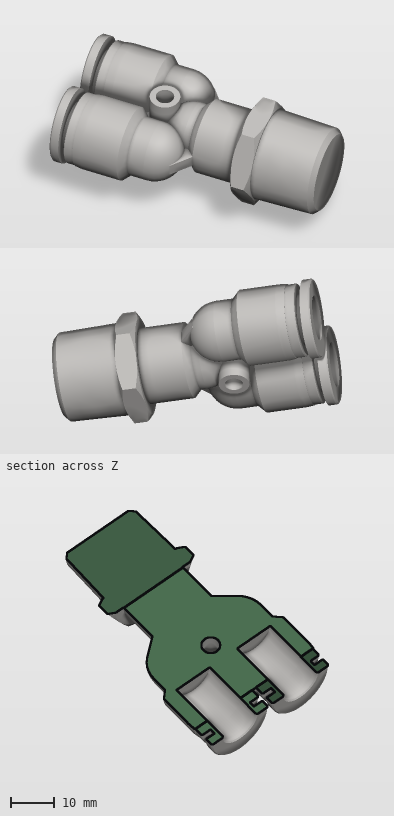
import cadquery as cq
import math

total_length = 62.2
total_width = 35.6
branch_diameter = 17.6
branch_radius = branch_diameter / 2
branch_offset = (total_width - branch_diameter) / 2

socket_start = 5.85
mouth_drop = 0.2
rounding_length = 2.05
shoulder_start = 16.9
dome_radius = 7.0
shoulder_end = shoulder_start + branch_radius - dome_radius
dome_center = 22.75

trunk_dome_center = 28.5
trunk_cone_start = 30.15
trunk_cone_end = trunk_cone_start + branch_radius - dome_radius

web_thickness = 2.85

post_center = 21.5
post_diameter = 7.0
post_hole_diameter = 4.2

flange_width = 16.8
flange_height = 19.05
flange_thickness = 2.25
flange_chamfer = 0.3
neck_diameter = 11.9
bore_diameter = 9.75
bore_chamfer = 0.3
ring_start = 3.55
ring_diameter = 16.9
ring_chamfer = 0.2
tube_stop = shoulder_start

hex_start = 42.25
hex_thickness = 5.0
hex_across_flats = 22.2
hex_corner_diameter = hex_across_flats / math.cos(math.pi / 6)
hex_chamfer_length = 0.95
thread_start = hex_start + hex_thickness
thread_start_radius = 10.7
thread_end_radius = 10.3
thread_chamfer = 1.2


def revolve_about_x(profile):
    """Revolve a closed XY profile about the X axis."""
    return profile.close().revolve(360, (0, 0, 0), (1, 0, 0))


def x_cylinder(start, end, diameter):
    """Cylinder along the X axis."""
    return cq.Workplane("YZ", origin=(start, 0, 0)).circle(diameter / 2).extrude(end - start)


def make_branch():
    """Socket with a rounded mouth, a shoulder and a domed end."""
    rounding_radius = (rounding_length**2 + mouth_drop**2) / (2 * mouth_drop)
    return revolve_about_x(
        cq.Workplane("XY")
        .moveTo(socket_start, 0)
        .lineTo(socket_start, branch_radius - mouth_drop)
        .radiusArc((socket_start + rounding_length, branch_radius), rounding_radius)
        .lineTo(shoulder_start, branch_radius)
        .lineTo(shoulder_end, dome_radius)
        .lineTo(dome_center, dome_radius)
        .radiusArc((dome_center + dome_radius, 0), dome_radius)
    )


def make_trunk():
    """Trunk with a domed inner end, widening by a cone to meet the hexagon."""
    return revolve_about_x(
        cq.Workplane("XY")
        .moveTo(trunk_dome_center - dome_radius, 0)
        .radiusArc((trunk_dome_center, dome_radius), dome_radius)
        .lineTo(trunk_cone_start, dome_radius)
        .lineTo(trunk_cone_end, branch_radius)
        .lineTo(hex_start, branch_radius)
        .lineTo(hex_start, 0)
    )


def make_web():
    """Flat web whose slanted sides run from the trunk edge tangent to the branch domes."""
    run = trunk_cone_end - dome_center
    rise = branch_radius - branch_offset
    tangent_angle = math.atan2(rise, run) + math.acos(dome_radius / math.hypot(run, rise))
    tangent_x = dome_center + dome_radius * math.cos(tangent_angle)
    tangent_y = branch_offset + dome_radius * math.sin(tangent_angle)
    half_outline = [
        (socket_start, branch_offset),
        (dome_center, branch_offset),
        (tangent_x, tangent_y),
        (trunk_cone_end, branch_radius),
    ]
    mirrored_outline = [(x, -y) for x, y in reversed(half_outline)]
    return (
        cq.Workplane("XY")
        .polyline(half_outline + mirrored_outline)
        .close()
        .extrude(web_thickness / 2, both=True)
    )


def make_housing():
    """Y-shaped housing with two blind tube bores and a through-drilled post."""
    housing = make_trunk().union(make_web())
    for side in (-1, 1):
        housing = housing.union(make_branch().translate((0, side * branch_offset, 0)))
    post_plane = cq.Workplane("XY").center(post_center, 0)
    post = post_plane.circle(post_diameter / 2).extrude(branch_radius, both=True)
    post_hole = post_plane.circle(post_hole_diameter / 2).extrude(branch_radius, both=True)
    housing = housing.union(post).cut(post_hole)
    tube_bore = x_cylinder(socket_start, tube_stop, bore_diameter)
    for side in (-1, 1):
        housing = housing.cut(tube_bore.translate((0, side * branch_offset, 0)))
    return housing


def make_collar(side):
    """Release collar: oval flange, round neck and ring seated on the socket, bored through."""
    flange = (
        cq.Workplane("YZ")
        .ellipse(flange_width / 2, flange_height / 2)
        .extrude(flange_thickness)
        .faces("<X")
        .chamfer(flange_chamfer)
    )
    neck = x_cylinder(flange_thickness, ring_start, neck_diameter)
    ring = x_cylinder(ring_start, socket_start, ring_diameter).faces("<X").edges().chamfer(ring_chamfer)
    bore = x_cylinder(0, socket_start, bore_diameter)
    bore_radius = bore_diameter / 2
    entry = revolve_about_x(
        cq.Workplane("XY")
        .lineTo(0, bore_radius + bore_chamfer)
        .lineTo(bore_chamfer, bore_radius)
        .lineTo(bore_chamfer, 0)
    )
    collar = flange.union(neck).union(ring).cut(bore).cut(entry)
    return collar.translate((0, side * branch_offset, 0))


def make_stud():
    """Hexagon with both ends chamfered, followed by a tapered thread envelope."""
    hexagon = (
        cq.Workplane("YZ", origin=(hex_start, 0, 0))
        .polygon(6, hex_corner_diameter)
        .extrude(hex_thickness)
    )
    corner_radius = hex_corner_diameter / 2
    flat_radius = hex_across_flats / 2
    chamfer_envelope = revolve_about_x(
        cq.Workplane("XY")
        .moveTo(hex_start, 0)
        .lineTo(hex_start, flat_radius)
        .lineTo(hex_start + hex_chamfer_length, corner_radius)
        .lineTo(thread_start - hex_chamfer_length, corner_radius)
        .lineTo(thread_start, flat_radius)
        .lineTo(thread_start, 0)
    )
    thread = revolve_about_x(
        cq.Workplane("XY")
        .moveTo(thread_start, 0)
        .lineTo(thread_start, thread_start_radius)
        .lineTo(total_length - thread_chamfer, thread_end_radius)
        .lineTo(total_length, thread_end_radius - thread_chamfer)
        .lineTo(total_length, 0)
    )
    return hexagon.intersect(chamfer_envelope).union(thread)


housing = make_housing()
stud = make_stud()
collars = [make_collar(side) for side in (-1, 1)]

result = cq.Compound.makeCompound(
    [housing.val(), stud.val(), *[collar.val() for collar in collars]]
)